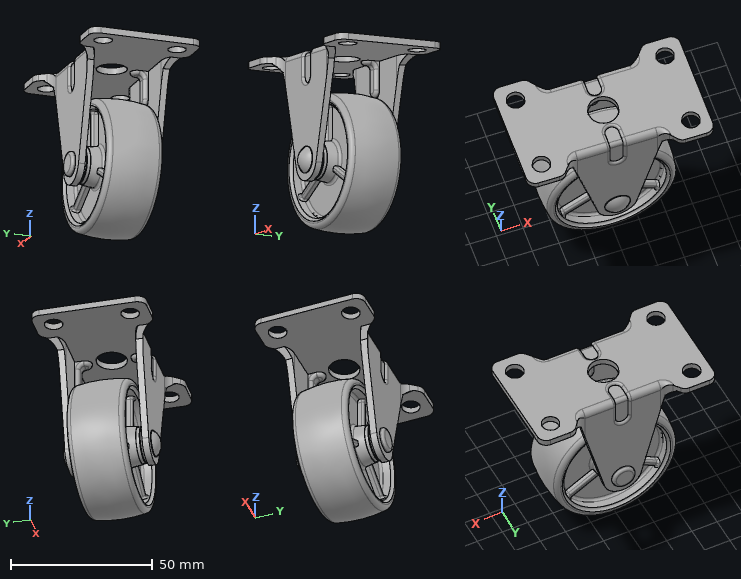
import cadquery as cq
import math


plate_length = 70.0
plate_width = 42.0
sheet = 2.5
corner_radius = 3.5
waist_half_width = 15.4
waist_half_length = 15.0
waist_radius = 5.0
ear_edge_x = 23.6
mount_hole_diameter = 6.5
mount_hole_pitch_x = 56.0
mount_hole_pitch_y = 28.0
center_hole_diameter = 11.0
bend_radius = sheet
bend_turn = 4.2

axle_height = -40.0
leg_tip_radius = 7.5
flare_top_x = 19.9
flare_foot_x = 16.7
flare_foot_z = -6.0

bead_width = 5.0
groove_depth = 1.0
groove_lip_radius = 0.98
groove_leg_end = -9.75
groove_plate_end = 9.5
bump_leg_depth = 1.7
bump_plate_depth = 1.4
bump_leg_end = -12.9
bump_plate_end = 9.6
bump_corner_radius = 1.5
bump_edge_radius = 1.35

wheel_radius = 25.0
wheel_half_width = 10.5
tread_shoulder_radius = 24.2
tread_half_width = 8.8
lip_outer_radius = 22.2
shoulder_sag = 0.55
lip_inner_radius = 21.5
rim_inner_radius = 20.4
rim_edge_fillet = lip_inner_radius - rim_inner_radius
web_half_thickness = 5.5
web_fillet = 1.0
hub_root_radius = 7.4
hub_tip_radius = 6.6
hub_half_width = 12.0
hub_chamfer = 0.25
hub_fillet = 1.0
spoke_width = 2.4
spoke_height = 2.4
spoke_fillet = 0.8
spoke_flare = 1.0
spoke_embed = 0.2
spoke_count = 3
first_spoke_angle = -90.0

pin_diameter = 6.6
head_radius = 4.8
head_height = 2.6
head_rim = 0.25
tail_radius = 4.5
tail_height = 1.5
tail_fillet = 1.1


def plate_outline():
    """Plate contour: four ears joined by tangent curves to a narrow waist."""
    half_l = plate_length / 2
    half_w = plate_width / 2
    ear_center = (ear_edge_x, half_w - corner_radius)
    waist_center = (waist_half_length, waist_half_width + waist_radius)
    dx = ear_center[0] - waist_center[0]
    dy = ear_center[1] - waist_center[1]
    direction = math.atan2(dy, dx) - math.acos((waist_radius + corner_radius) / math.hypot(dx, dy))

    def on_waist(angle):
        return (
            waist_center[0] + waist_radius * math.cos(angle),
            waist_center[1] + waist_radius * math.sin(angle),
        )

    def on_ear(angle):
        return (
            ear_center[0] + corner_radius * math.cos(angle),
            ear_center[1] + corner_radius * math.sin(angle),
        )

    down = -math.pi / 2
    up = math.pi / 2
    ear_tangent = direction + math.pi
    diagonal = corner_radius * (1 - math.sqrt(0.5))
    quarter = (
        cq.Workplane("XY")
        .moveTo(0, 0)
        .lineTo(0, waist_half_width)
        .lineTo(waist_half_length, waist_half_width)
        .threePointArc(on_waist((down + direction) / 2), on_waist(direction))
        .lineTo(*on_ear(ear_tangent))
        .threePointArc(on_ear((ear_tangent + up) / 2), on_ear(up))
        .lineTo(half_l - corner_radius, half_w)
        .threePointArc((half_l - diagonal, half_w - diagonal), (half_l, half_w - corner_radius))
        .lineTo(half_l, 0)
        .close()
        .extrude(-sheet)
    )
    half = quarter.union(quarter.mirror("YZ"))
    return half.union(half.mirror("XZ")).clean()


def leg_front_profile():
    """Tapered leg with flared shoulders, as a solid through the full width."""
    dx = flare_foot_x
    dz = flare_foot_z - axle_height
    reach = math.hypot(dx, dz)
    tangent = math.atan2(dz, dx) - math.acos(leg_tip_radius / reach)
    tip_x = leg_tip_radius * math.cos(tangent)
    tip_z = axle_height + leg_tip_radius * math.sin(tangent)
    return (
        cq.Workplane("XZ")
        .moveTo(-flare_top_x, -sheet)
        .lineTo(flare_top_x, -sheet)
        .lineTo(flare_foot_x, flare_foot_z)
        .lineTo(tip_x, tip_z)
        .threePointArc((0, axle_height - leg_tip_radius), (-tip_x, tip_z))
        .lineTo(-flare_foot_x, flare_foot_z)
        .close()
        .extrude(plate_width / 2, both=True)
    )


def make_legs(plate):
    """Sheet that follows the plate edge, cut to the leg profile."""
    depth = leg_tip_radius - axle_height
    edge = plate.faces("<Z").wires().val()
    outer = cq.Workplane("XY").add(edge).toPending().extrude(-depth)
    inner = cq.Workplane("XY").add(edge).toPending().offset2D(-sheet).extrude(-depth)
    return outer.cut(inner).intersect(leg_front_profile())


def bend_section(across):
    """Waste outside the bend arc, with its outer top corner at Y = across."""
    return (
        cq.Workplane("YZ")
        .moveTo(across - bend_radius, 0)
        .radiusArc((across, -bend_radius), bend_radius)
        .lineTo(across, 0)
        .close()
    )


def bend_cutter():
    """Waste that rounds the +Y bend and runs out around both ends of the waist."""
    straight = bend_section(waist_half_width).extrude(waist_half_length, both=True)
    turn_y = waist_half_width - bend_radius + bend_turn
    turn = (
        bend_section(bend_radius - bend_turn)
        .revolve(90, (0, 0), (0, 1))
        .translate((waist_half_length, turn_y, 0))
    )
    return straight.union(turn).union(turn.mirror("YZ"))


def bead_strip(plane, start, end, thickness):
    """Strip from start down to a rounded end, centred on X = 0; end is the centre of the round."""
    half = bead_width / 2
    return (
        cq.Workplane(plane)
        .moveTo(-half, start)
        .lineTo(-half, end)
        .threePointArc((0, end - half), (half, end))
        .lineTo(half, start)
        .close()
        .extrude(thickness)
    )


def bead_bump():
    """Raised back of the bead, inside the corner between leg and plate."""
    inner_y = waist_half_width - sheet
    leg_pad = bead_strip("XZ", -sheet, bump_leg_end, bump_leg_depth).translate((0, inner_y, 0))
    plate_pad = bead_strip("XY", inner_y, bump_plate_end, -bump_plate_depth).translate((0, 0, -sheet))
    face_y = inner_y - bump_leg_depth
    face_z = -sheet - bump_plate_depth
    corner = (
        cq.Workplane("YZ")
        .moveTo(face_y - bump_corner_radius, face_z)
        .radiusArc((face_y, face_z - bump_corner_radius), bump_corner_radius)
        .lineTo(face_y, face_z)
        .close()
        .extrude(bead_width / 2, both=True)
    )
    return leg_pad.union(plate_pad).union(corner)


def bead_groove():
    """Waste of the bead groove, which follows the bend at a constant depth."""
    bend_y = waist_half_width - bend_radius
    floor_radius = bend_radius - groove_depth
    leg_slot = bead_strip("XZ", -bend_radius, groove_leg_end, groove_depth)
    plate_slot = bead_strip("XY", bend_y, groove_plate_end, -groove_depth)
    bend_slot = (
        cq.Workplane("YZ")
        .moveTo(bend_y, -groove_depth)
        .radiusArc((bend_y + floor_radius, -bend_radius), floor_radius)
        .lineTo(waist_half_width, -bend_radius)
        .lineTo(waist_half_width, 0)
        .lineTo(bend_y, 0)
        .close()
        .extrude(bead_width / 2, both=True)
    )
    return leg_slot.translate((0, waist_half_width, 0)).union(plate_slot).union(bend_slot)


def make_fork():
    """One bent sheet: plate and two legs; the +Y half is shaped and then mirrored."""
    plate = plate_outline()
    plus_y_space = cq.Workplane("XY").box(
        plate_length, plate_width, 2 * plate_length, centered=(True, False, True)
    )
    half = plate.union(make_legs(plate)).intersect(plus_y_space)
    half = half.cut(bend_cutter()).union(bead_bump())
    bump_face_y = waist_half_width - sheet - bump_leg_depth
    mid_leg = groove_leg_end / 2
    half = half.edges(
        cq.NearestToPointSelector((bead_width / 2, bump_face_y, mid_leg))
    ).fillet(bump_edge_radius)
    half = half.cut(bead_groove())
    half = half.edges(
        cq.NearestToPointSelector((bead_width / 2, waist_half_width, mid_leg))
    ).fillet(groove_lip_radius)
    fork = half.union(half.mirror("XZ")).clean()
    mount_holes = (
        cq.Workplane("XY")
        .rarray(mount_hole_pitch_x, mount_hole_pitch_y, 2, 2)
        .circle(mount_hole_diameter / 2)
        .extrude(-sheet)
    )
    center_hole = cq.Workplane("XY").circle(center_hole_diameter / 2).extrude(-sheet)
    return fork.cut(mount_holes).cut(center_hole).cut(axle_rod(plate_width))


def axle_rod(length):
    """Plain round bar on the axle line, centred in Y."""
    return (
        cq.Workplane("XZ", origin=(0, 0, axle_height))
        .circle(pin_diameter / 2)
        .extrude(length / 2, both=True)
    )


def at_axle(body):
    """Moves a body turned about the Y axis down to the axle line."""
    return body.translate((0, 0, axle_height))


def wheel_drum():
    """Solid disc with a crowned tread and rounded shoulders."""
    shoulder = (tread_shoulder_radius - shoulder_sag, wheel_half_width - shoulder_sag)
    return (
        cq.Workplane("XY")
        .moveTo(0, -wheel_half_width)
        .lineTo(lip_outer_radius, -wheel_half_width)
        .threePointArc((shoulder[0], -shoulder[1]), (tread_shoulder_radius, -tread_half_width))
        .threePointArc((wheel_radius, 0), (tread_shoulder_radius, tread_half_width))
        .threePointArc(shoulder, (lip_outer_radius, wheel_half_width))
        .lineTo(0, wheel_half_width)
        .close()
        .revolve(360, (0, 0), (0, 1))
    )


def side_recess():
    """Waste of the recess on the -Y side, between the rim and the tapered hub."""
    return (
        cq.Workplane("XY")
        .moveTo(hub_tip_radius, -hub_half_width)
        .lineTo(hub_root_radius, -web_half_thickness - hub_fillet)
        .radiusArc((hub_root_radius + hub_fillet, -web_half_thickness), hub_fillet)
        .lineTo(rim_inner_radius - web_fillet, -web_half_thickness)
        .radiusArc((rim_inner_radius, -web_half_thickness - web_fillet), web_fillet)
        .lineTo(rim_inner_radius, -wheel_half_width + rim_edge_fillet)
        .radiusArc((lip_inner_radius, -wheel_half_width), rim_edge_fillet)
        .lineTo(lip_inner_radius, -hub_half_width)
        .close()
        .revolve(360, (0, 0), (0, 1))
    )


def wheel_hub():
    """Bar through the wheel that gives the hub its chamfered ends beyond the rim."""
    return (
        cq.Workplane("XZ")
        .circle(hub_tip_radius)
        .extrude(hub_half_width, both=True)
        .edges()
        .chamfer(hub_chamfer)
    )


def make_spoke(angle):
    """Rib on the -Y face of the web, from the hub to a flared foot on the rim."""
    length = rim_inner_radius - hub_tip_radius
    bar = (
        cq.Workplane("XY")
        .box(length, spoke_height, spoke_width, centered=(False, False, True))
        .edges("|X and <Y")
        .fillet(spoke_fillet)
        .translate((hub_tip_radius, -spoke_height, 0))
    )
    foot_height = spoke_height + spoke_flare + spoke_embed
    foot_width = spoke_width + 2 * (spoke_flare + spoke_embed)
    foot = (
        cq.Workplane("XY")
        .box(spoke_embed, foot_height, foot_width, centered=(False, False, True))
        .translate((rim_inner_radius, -foot_height, 0))
    )
    edge_zone = cq.selectors.BoxSelector(
        (rim_inner_radius - spoke_embed, -spoke_height - spoke_embed, -spoke_width / 2 - spoke_embed),
        (rim_inner_radius + spoke_embed / 2, -spoke_embed, spoke_width / 2 + spoke_embed),
    )
    return (
        bar.union(foot)
        .edges(edge_zone)
        .fillet(spoke_flare)
        .translate((0, -web_half_thickness, 0))
        .rotate((0, 0, 0), (0, 1, 0), angle)
    )


def make_wheel():
    """Drum and hub, recessed and ribbed alike on both sides, bored for the axle."""
    recess = side_recess()
    wheel = wheel_drum().union(wheel_hub()).cut(recess).cut(recess.mirror("XZ"))
    for i in range(spoke_count):
        spoke = make_spoke(first_spoke_angle + i * 360 / spoke_count)
        wheel = wheel.union(spoke).union(spoke.mirror("XZ"))
    return at_axle(wheel).cut(axle_rod(plate_width))


def make_axle():
    """Rivet with a domed head on -Y and an upset tail on +Y."""
    head_top = -waist_half_width - head_height
    tail_top = waist_half_width + tail_height
    dome_height = head_height - head_rim
    dome_radius = (head_radius**2 + dome_height**2) / (2 * dome_height)
    pin_radius = pin_diameter / 2
    axle = (
        cq.Workplane("XY")
        .moveTo(0, head_top)
        .radiusArc((head_radius, head_top + dome_height), -dome_radius)
        .lineTo(head_radius, -waist_half_width)
        .lineTo(pin_radius, -waist_half_width)
        .lineTo(pin_radius, waist_half_width)
        .lineTo(tail_radius, waist_half_width)
        .lineTo(tail_radius, tail_top - tail_fillet)
        .radiusArc((tail_radius - tail_fillet, tail_top), -tail_fillet)
        .lineTo(0, tail_top)
        .close()
        .revolve(360, (0, 0), (0, 1))
    )
    return at_axle(axle)


fork = make_fork()
wheel = make_wheel()
axle = make_axle()
result = cq.Compound.makeCompound(
    [*fork.solids().vals(), *wheel.solids().vals(), *axle.solids().vals()]
)